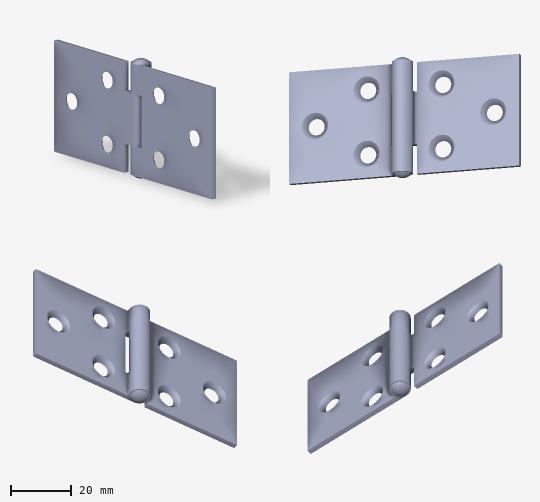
import cadquery as cq

hinge_width = 80.0
overall_height = 41.0
leaf_height = 38.0
leaf_thickness = 1.8
knuckle_diameter = 7.0
knuckle_clearance = 0.9
middle_knuckle_height = 18.1
pin_radius = 3.0
screw_hole_diameter = 5.5
inner_hole_x = 13.0
inner_hole_z = 11.0
outer_hole_x = 31.0

knuckle_radius = knuckle_diameter / 2
front_face_y = -knuckle_radius
plate_edge_x = knuckle_radius + knuckle_clearance
plate_length = hinge_width / 2 - plate_edge_x
outer_knuckle_height = (leaf_height - middle_knuckle_height) / 2
outer_knuckle_z = (middle_knuckle_height + outer_knuckle_height) / 2
countersink_diameter = screw_hole_diameter + 2 * leaf_thickness
dome_height = (overall_height - leaf_height) / 2


def leaf_block(side, near_x, length, thickness, height, mid_z):
    """Block running outward from near_x, flush with the front face of the leaves."""
    return cq.Workplane("XY").box(length, thickness, height).translate(
        (side * (near_x + length / 2), front_face_y + thickness / 2, mid_z)
    )


def knuckle(side, height, mid_z):
    """Round barrel squared off on its leaf side, with a strap to the plate."""
    barrel = cq.Workplane("XY").circle(knuckle_radius).extrude(height).translate((0, 0, mid_z - height / 2))
    square_flank = leaf_block(side, 0, knuckle_radius, knuckle_radius, height, mid_z)
    strap = leaf_block(side, 0, plate_edge_x, leaf_thickness, height, mid_z)
    return barrel.union(square_flank).union(strap)


def countersunk_hole(x, z):
    """90 degree cone that is narrowest at the front face and widens to the back face."""
    return (
        cq.Workplane("XZ", origin=(x, front_face_y, z))
        .circle(screw_hole_diameter / 2)
        .workplane(offset=-leaf_thickness)
        .circle(countersink_diameter / 2)
        .loft()
    )


def drilled_plate(side):
    """Flat plate of one leaf with its triangle of countersunk screw holes."""
    plate = leaf_block(side, plate_edge_x, plate_length, leaf_thickness, leaf_height, 0)
    hole_places = [
        (side * inner_hole_x, inner_hole_z),
        (side * inner_hole_x, -inner_hole_z),
        (side * outer_hole_x, 0),
    ]
    for x, z in hole_places:
        plate = plate.cut(countersunk_hole(x, z))
    return plate


def domed_pin():
    """Round pin with a shallow spherical dome beyond each end of the leaf."""
    dome_radius = (pin_radius**2 + dome_height**2) / (2 * dome_height)
    dome_center_z = leaf_height / 2 + dome_height - dome_radius
    arc_mid_x = pin_radius / 2
    arc_mid_z = dome_center_z + (dome_radius**2 - arc_mid_x**2) ** 0.5
    return (
        cq.Workplane("XZ")
        .moveTo(0, -overall_height / 2)
        .threePointArc((arc_mid_x, -arc_mid_z), (pin_radius, -leaf_height / 2))
        .lineTo(pin_radius, leaf_height / 2)
        .threePointArc((arc_mid_x, arc_mid_z), (0, overall_height / 2))
        .close()
        .revolve(360, (0, 0, 0), (0, 1, 0))
    )


def make_left_leaf():
    """Leaf with the middle knuckle, bored for the pin."""
    pin_bore = cq.Workplane("XY").circle(pin_radius).extrude(leaf_height / 2, both=True)
    return drilled_plate(-1).union(knuckle(-1, middle_knuckle_height, 0)).cut(pin_bore)


def make_right_leaf():
    """Leaf with the two outer knuckles and the pin fixed in them."""
    leaf = drilled_plate(1)
    for end in (-1, 1):
        leaf = leaf.union(knuckle(1, outer_knuckle_height, end * outer_knuckle_z))
    return leaf.union(domed_pin())


left_leaf = make_left_leaf()
right_leaf = make_right_leaf()

result = cq.Compound.makeCompound([left_leaf.solids().val(), right_leaf.solids().val()])